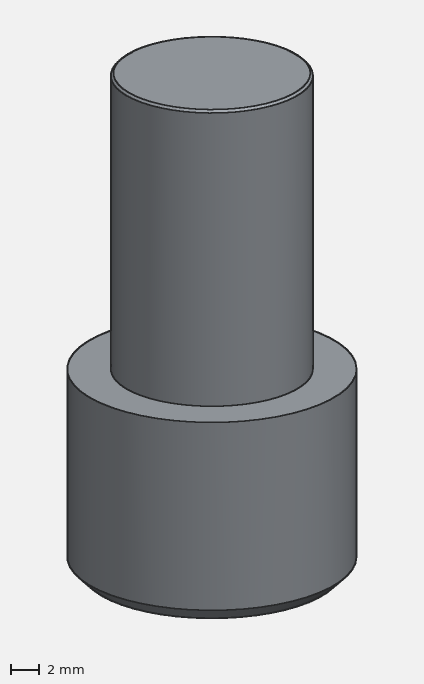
import cadquery as cq

total_height = 37.0
head_diameter = 20.0
head_height = 15.0
head_chamfer = 1.0
shank_diameter = 14.0
shank_chamfer = 0.2


def make_head():
    """Wide cylinder standing on Z = 0, chamfered around its bottom edge."""
    head = cq.Workplane("XY").circle(head_diameter / 2).extrude(head_height)
    return head.faces("<Z").edges().chamfer(head_chamfer)


def make_shank():
    """Narrower cylinder on top of the head, with its top edge broken."""
    shank_length = total_height - head_height
    shank = (
        cq.Workplane("XY")
        .workplane(offset=head_height)
        .circle(shank_diameter / 2)
        .extrude(shank_length)
    )
    return shank.faces(">Z").edges().chamfer(shank_chamfer)


result = make_head().union(make_shank())